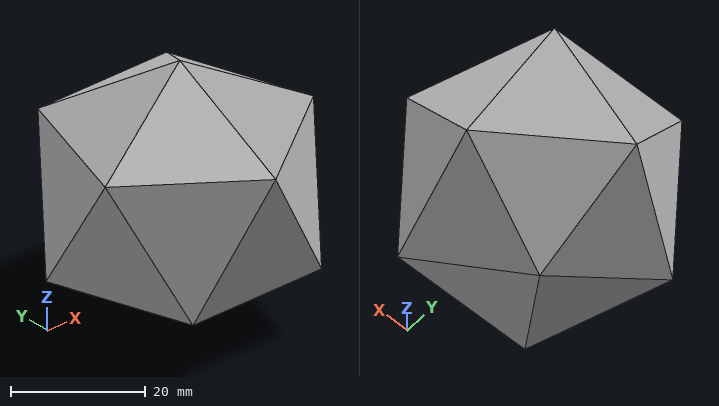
import cadquery as cq
import math

HEIGHT = 44.0
RING_SPACING = 22.0
RING_RADIUS = 21.6
SIDES = 5


def ring(z, first_angle):
    """Corners of a regular ring at height z, starting at first_angle degrees."""
    corners = []
    for i in range(SIDES):
        angle = math.radians(first_angle + i * 360 / SIDES)
        corners.append(cq.Vector(RING_RADIUS * math.cos(angle), RING_RADIUS * math.sin(angle), z))
    return corners


def triangle(*corners):
    return cq.Face.makeFromWires(cq.Wire.makePolygon(corners, close=True))


upper_start = -90
upper = ring(RING_SPACING / 2, upper_start)
lower = ring(-RING_SPACING / 2, upper_start + 180 / SIDES)
top_apex = cq.Vector(0, 0, HEIGHT / 2)
bottom_apex = cq.Vector(0, 0, -HEIGHT / 2)

faces = []
for i in range(SIDES):
    following = (i + 1) % SIDES
    faces.append(triangle(top_apex, upper[i], upper[following]))
    faces.append(triangle(upper[i], lower[i], upper[following]))
    faces.append(triangle(lower[i], lower[following], upper[following]))
    faces.append(triangle(bottom_apex, lower[following], lower[i]))

result = cq.Workplane(obj=cq.Solid.makeSolid(cq.Shell.makeShell(faces)))